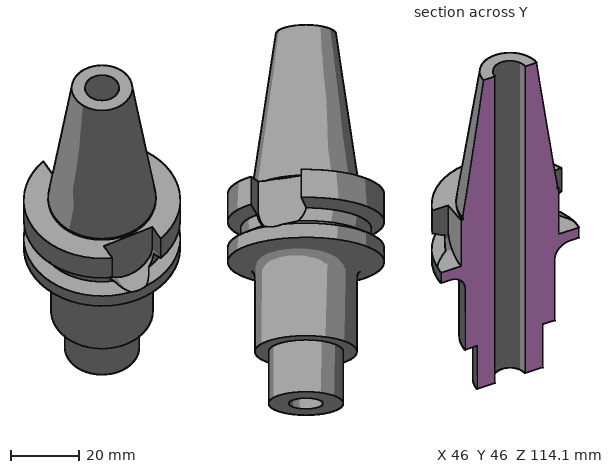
import cadquery as cq
import math


overall_length = 114.14
taper_length = 48.4
gauge_radius = 31.75 / 2
taper_tip_radius = 17.8 / 2
gauge_band_height = 0.4
relief_radius = 31.5 / 2

flange_radius = 46.0 / 2
flange_top_z = -1.0
flange_bottom_z = -22.0
groove_radius = 38.4 / 2
groove_top_z = -9.6
groove_bottom_z = -17.6
groove_flank_angle = 28.0
groove_flank_height = (flange_radius - groove_radius) * math.tan(math.radians(groove_flank_angle))

body_radius = 30.0 / 2
neck_fillet_radius = 5.0
nose_radius = 22.0 / 2
nose_length = 16.0
nose_end_z = taper_length - overall_length
body_end_z = nose_end_z + nose_length

slot_width = 16.1
slot_floor_distance = 16.3
slot_bottom_z = -18.0
bore_diameter = 10.0


def turned_blank():
    """Revolve the half outline (radius, height) of the solid holder about Z."""
    fillet_center_r = body_radius + neck_fillet_radius
    fillet_center_z = flange_bottom_z - neck_fillet_radius
    fillet_offset = neck_fillet_radius * math.sqrt(0.5)
    outline = (
        cq.Workplane("YZ")
        .moveTo(0, taper_length)
        .lineTo(taper_tip_radius, taper_length)
        .lineTo(gauge_radius, 0)
        .lineTo(gauge_radius, -gauge_band_height)
        .lineTo(relief_radius, -gauge_band_height)
        .lineTo(relief_radius, flange_top_z)
        .lineTo(flange_radius, flange_top_z)
        .lineTo(flange_radius, groove_top_z)
        .lineTo(groove_radius, groove_top_z - groove_flank_height)
        .lineTo(groove_radius, groove_bottom_z + groove_flank_height)
        .lineTo(flange_radius, groove_bottom_z)
        .lineTo(flange_radius, flange_bottom_z)
        .lineTo(fillet_center_r, flange_bottom_z)
        .threePointArc(
            (fillet_center_r - fillet_offset, fillet_center_z + fillet_offset),
            (body_radius, fillet_center_z),
        )
        .lineTo(body_radius, body_end_z)
        .lineTo(nose_radius, body_end_z)
        .lineTo(nose_radius, nose_end_z)
        .lineTo(0, nose_end_z)
        .close()
    )
    return outline.revolve(360, (0, 0, 0), (0, 1, 0))


def drive_slot(side):
    """Round-bottomed slot cutter, open at the flange top, on the +X (1) or -X (-1) side."""
    half_width = slot_width / 2
    arc_center_z = slot_bottom_z + half_width
    return (
        cq.Workplane("YZ", origin=(side * slot_floor_distance, 0, 0))
        .moveTo(-half_width, flange_top_z)
        .lineTo(-half_width, arc_center_z)
        .threePointArc((0, slot_bottom_z), (half_width, arc_center_z))
        .lineTo(half_width, flange_top_z)
        .close()
        .extrude(side * (flange_radius - slot_floor_distance))
    )


def through_bore():
    """Cylinder along the axis that pierces the whole holder."""
    return (
        cq.Workplane("XY", origin=(0, 0, nose_end_z))
        .circle(bore_diameter / 2)
        .extrude(overall_length)
    )


result = turned_blank().cut(through_bore())
for slot_side in (1, -1):
    result = result.cut(drive_slot(slot_side))